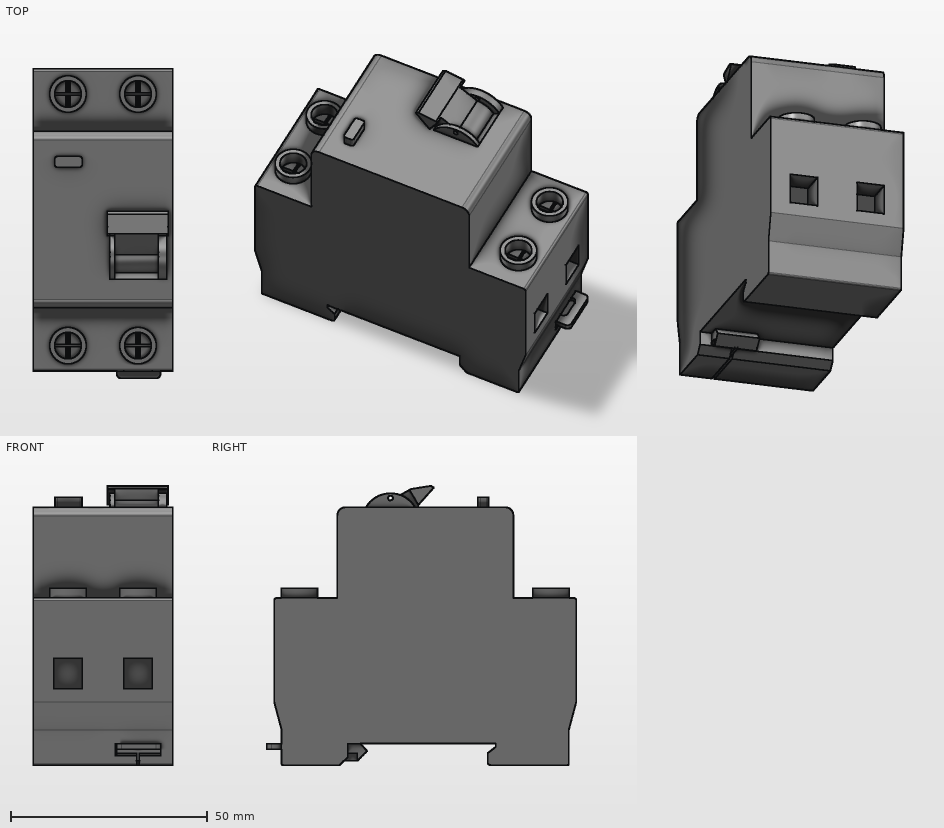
import cadquery as cq
import math


WIDTH = 35.5
DEPTH = 76.8
SHOULDER_HEIGHT = 42.5
TOWER_HEIGHT = 65.55
TOWER_FRONT = 16.05
TOWER_BACK = 60.8
FOOT_INSET = 1.9
TAPER_LOW = 9.05
TAPER_HIGH = 16.1
TOWER_ROUND = 2.1
EDGE_ROUND = 0.6
BASE_ROUND = 0.5

CHANNEL_ROOF = 5.5
CHANNEL_FRONT = 18.7
CHANNEL_BACK = 56.3
CHANNEL_CHAMFER = 2.05
HOOK_TIP = 54.2
HOOK_TOP = 3.1
HOOK_SHOULDER = 4.65
HOOK_ROUND = 0.8

POLE_PITCH = 17.8
POLE_CENTRES = [WIDTH / 2 - POLE_PITCH / 2, WIDTH / 2 + POLE_PITCH / 2]
SCREW_INSET = 6.45
COLLAR_DIAMETER = 9.3
COLLAR_HEIGHT = 2.5
SCREW_DIAMETER = 6.8
SCREW_SINK = 3.85
SLOT_DEPTH = 0.8
CROSS_SLOT_WIDTH = 0.6
LONG_SLOT_WIDTH = 1.1
LONG_SLOT_TAPER = 22
WINDOW_WIDTH = 7.25
WINDOW_HEIGHT = 7.7
WINDOW_BOTTOM = 19.4
WINDOW_DEPTH = 7.9

BUTTON_LENGTH = 6.9
BUTTON_WIDTH = 2.75
BUTTON_HEIGHT = 2.5
BUTTON_X = 9.0
BUTTON_Y = 53.1
BUTTON_ROUND = 0.6

PIVOT_Y = 29.6
PIVOT_Z = 61.85
CHEEK_RADIUS = 7.25
DRUM_RADIUS = 5.4
LEFT_CHEEK_X = 19.5
DRUM_LEFT_X = 20.8
DRUM_RIGHT_X = 31.8
RIGHT_CHEEK_X = 34.0
HANDLE_LEFT_X = 18.9
HANDLE_RIGHT_X = 34.3
PIN_HOLE_DIAMETER = 1.2
PIN_HOLE_Z = 67.85
LEVER_ROOT_Z = 64.5
NECK_FOOT_Y = 36.6
HANDLE_LIP = (34.9, 70.2)
HANDLE_LIP_WIDTH = 0.5
HANDLE_HEEL = (36.7, 66.1)
HANDLE_TIP_LOW = (40.6, 70.5)
HANDLE_TIP_TOP = (39.8, 71.0)
RELIEF_DROP = 0.9

GUIDE_X = POLE_CENTRES[1]
GUIDE_WIDTH = 11.5
CLIP_WIDTH = 11.2
CLIP_X = GUIDE_X + (GUIDE_WIDTH - CLIP_WIDTH) / 2
CLIP_THICKNESS = 2.5
CLIP_BOTTOM = CHANNEL_ROOF - CLIP_THICKNESS
GUIDE_CLEARANCE = 0.55
GUIDE_BOTTOM = CLIP_BOTTOM - GUIDE_CLEARANCE
RIB_WIDTH = 0.7
RIB_BOTTOM = 1.1
LATCH_ROOT = 21.2
LATCH_TIP = (23.7, 3.6)
LATCH_TOP = 21.95
TAB_REACH = 1.9
TAB_THICKNESS = 1.5
TAB_ROUND = 1.2
GRIP_LENGTH = 6.3
GRIP_WIDTH = 2.2
GRIP_DEPTH = 1.1
GRIP_Y = 1.5


def side_prism(outline, left_x, right_x):
    """Extrude a closed outline of (Y, Z) points from left_x to right_x."""
    return cq.Workplane("YZ", origin=(left_x, 0, 0)).polyline(outline).close().extrude(right_x - left_x)


def side_cylinder(y, z, radius, left_x, right_x):
    """Cylinder along X with its axis at (y, z)."""
    return cq.Workplane("YZ", origin=(left_x, y, z)).circle(radius).extrude(right_x - left_x)


def block(x_range, y_range, z_range):
    """Rectangular block between the given limits."""
    size = [high - low for low, high in (x_range, y_range, z_range)]
    corner = (x_range[0], y_range[0], z_range[0])
    return cq.Workplane("XY").box(*size, centered=False).translate(corner)


def centred(middle, width):
    """Limits of a span of the given width about its middle."""
    return middle - width / 2, middle + width / 2


def edges_at(body, points):
    """Edges of the body that run along X through the given (Y, Z) points."""
    tolerance = 0.01
    picked = []
    for edge in body.edges("|X").vals():
        middle = edge.Center()
        if any(math.hypot(middle.y - y, middle.z - z) < tolerance for y, z in points):
            picked.append(edge)
    return body.newObject(picked)


def shell():
    """Stepped housing with the rail channel in its underside."""
    outline = [
        (FOOT_INSET, 0),
        (FOOT_INSET, TAPER_LOW),
        (0, TAPER_HIGH),
        (0, SHOULDER_HEIGHT),
        (TOWER_FRONT, SHOULDER_HEIGHT),
        (TOWER_FRONT, TOWER_HEIGHT),
        (TOWER_BACK, TOWER_HEIGHT),
        (TOWER_BACK, SHOULDER_HEIGHT),
        (DEPTH, SHOULDER_HEIGHT),
        (DEPTH, TAPER_HIGH),
        (DEPTH - FOOT_INSET, TAPER_LOW),
        (DEPTH - FOOT_INSET, 0),
        (HOOK_TIP, 0),
        (HOOK_TIP, HOOK_TOP),
        (CHANNEL_BACK, HOOK_SHOULDER),
        (CHANNEL_BACK, CHANNEL_ROOF),
        (CHANNEL_FRONT, CHANNEL_ROOF),
        (CHANNEL_FRONT, CHANNEL_CHAMFER),
        (CHANNEL_FRONT - CHANNEL_CHAMFER, 0),
    ]
    body = side_prism(outline, 0, WIDTH)
    tower_edges = [(TOWER_FRONT, TOWER_HEIGHT), (TOWER_BACK, TOWER_HEIGHT)]
    shoulder_edges = [(0, SHOULDER_HEIGHT), (DEPTH, SHOULDER_HEIGHT)]
    base_edges = [(FOOT_INSET, 0), (DEPTH - FOOT_INSET, 0)]
    body = edges_at(body, tower_edges).fillet(TOWER_ROUND)
    body = edges_at(body, shoulder_edges).fillet(EDGE_ROUND)
    body = edges_at(body, base_edges).fillet(BASE_ROUND)
    return edges_at(body, [(HOOK_TIP, 0)]).fillet(HOOK_ROUND)


def terminal_collar(x, y):
    """Raised ring around a terminal screw."""
    base = cq.Workplane("XY", origin=(x, y, SHOULDER_HEIGHT))
    return base.circle(COLLAR_DIAMETER / 2).extrude(COLLAR_HEIGHT)


def terminal_screw_cut(x, y):
    """Well down to the screw head, with the cross slot below it."""
    head_z = SHOULDER_HEIGHT + COLLAR_HEIGHT - SCREW_SINK
    head = cq.Workplane("XY", origin=(x, y, head_z))
    well = head.circle(SCREW_DIAMETER / 2).extrude(SCREW_SINK)
    cross_slot = head.rect(SCREW_DIAMETER, CROSS_SLOT_WIDTH).extrude(-SLOT_DEPTH)
    long_slot = head.rect(LONG_SLOT_WIDTH, SCREW_DIAMETER).extrude(-SLOT_DEPTH, taper=LONG_SLOT_TAPER)
    return well.union(cross_slot).union(long_slot)


def wire_window(x, y_range):
    """Rectangular wire entry."""
    z_range = (WINDOW_BOTTOM, WINDOW_BOTTOM + WINDOW_HEIGHT)
    return block(centred(x, WINDOW_WIDTH), y_range, z_range)


def test_button():
    """Rounded push button on the tower top."""
    base = cq.Workplane("XY", origin=(BUTTON_X, BUTTON_Y, TOWER_HEIGHT))
    return base.rect(BUTTON_LENGTH, BUTTON_WIDTH).extrude(BUTTON_HEIGHT).edges("|Z").fillet(BUTTON_ROUND)


def lever_cheek(left_x, right_x):
    """Round end plate of the lever with its pin hole."""
    disc = side_cylinder(PIVOT_Y, PIVOT_Z, CHEEK_RADIUS, left_x, right_x)
    hole = side_cylinder(PIVOT_Y, PIN_HOLE_Z, PIN_HOLE_DIAMETER / 2, left_x, right_x)
    return disc.cut(hole)


def lever():
    """Toggle lever: drum and neck between two cheeks, and a wider handle."""
    drum = side_cylinder(PIVOT_Y, PIVOT_Z, DRUM_RADIUS, DRUM_LEFT_X, DRUM_RIGHT_X)
    drum_top = (PIVOT_Y, PIVOT_Z + DRUM_RADIUS)
    neck_slope = (HANDLE_LIP[1] - drum_top[1]) / (HANDLE_LIP[0] - drum_top[0])
    lip_low = (HANDLE_LIP[0] - HANDLE_LIP_WIDTH, HANDLE_LIP[1] - neck_slope * HANDLE_LIP_WIDTH)
    neck_outline = [
        (PIVOT_Y, LEVER_ROOT_Z),
        drum_top,
        HANDLE_LIP,
        HANDLE_HEEL,
        (NECK_FOOT_Y, LEVER_ROOT_Z),
    ]
    handle_outline = [
        HANDLE_HEEL,
        lip_low,
        HANDLE_LIP,
        HANDLE_TIP_TOP,
        HANDLE_TIP_LOW,
    ]
    neck = side_prism(neck_outline, DRUM_LEFT_X, DRUM_RIGHT_X)
    handle = side_prism(handle_outline, HANDLE_LEFT_X, HANDLE_RIGHT_X)
    left_cheek = lever_cheek(LEFT_CHEEK_X, DRUM_LEFT_X)
    right_cheek = lever_cheek(DRUM_RIGHT_X, RIGHT_CHEEK_X)
    return drum.union(neck).union(handle).union(left_cheek).union(right_cheek)


def lever_relief():
    """Sloping recess in the tower top, in front of the drum."""
    rise = TOWER_HEIGHT - PIVOT_Z
    front_y = PIVOT_Y - math.sqrt(CHEEK_RADIUS**2 - rise**2)
    drum_y = PIVOT_Y - math.sqrt(DRUM_RADIUS**2 - (rise - RELIEF_DROP) ** 2)
    outline = [
        (front_y, TOWER_HEIGHT),
        (drum_y, TOWER_HEIGHT - RELIEF_DROP),
        (PIVOT_Y, TOWER_HEIGHT - RELIEF_DROP),
        (PIVOT_Y, TOWER_HEIGHT),
    ]
    return side_prism(outline, DRUM_LEFT_X, DRUM_RIGHT_X)


def clip_guide():
    """T-shaped passage for the clip through the front foot."""
    y_range = (0, CHANNEL_FRONT)
    passage = block(centred(GUIDE_X, GUIDE_WIDTH), y_range, (GUIDE_BOTTOM, CHANNEL_ROOF))
    rib_slot = block(centred(GUIDE_X, RIB_WIDTH), y_range, (0, GUIDE_BOTTOM))
    return passage.union(rib_slot)


def make_housing():
    """Housing with its terminals, button and lever."""
    body = shell().cut(lever_relief())
    for x in POLE_CENTRES:
        for y in (SCREW_INSET, DEPTH - SCREW_INSET):
            body = body.union(terminal_collar(x, y)).cut(terminal_screw_cut(x, y))
        for y_range in ((0, WINDOW_DEPTH), (DEPTH - WINDOW_DEPTH, DEPTH)):
            body = body.cut(wire_window(x, y_range))
    return body.union(test_button()).union(lever()).cut(clip_guide())


def make_rail_clip():
    """Sliding clip: latch nose at the back, plate, guide rib and finger tab at the front."""
    x_range = centred(CLIP_X, CLIP_WIDTH)
    plate_outline = [
        (FOOT_INSET, CLIP_BOTTOM),
        (LATCH_ROOT, CLIP_BOTTOM),
        (LATCH_ROOT, RIB_BOTTOM),
        LATCH_TIP,
        (LATCH_TOP, CHANNEL_ROOF),
        (FOOT_INSET, CHANNEL_ROOF),
    ]
    plate = side_prism(plate_outline, *x_range)
    rib = block(centred(GUIDE_X, RIB_WIDTH), (FOOT_INSET, LATCH_ROOT), (RIB_BOTTOM, CLIP_BOTTOM))
    tab = block(x_range, (-TAB_REACH, FOOT_INSET), (CHANNEL_ROOF - TAB_THICKNESS, CHANNEL_ROOF))
    tab = tab.edges("|Z and <Y").fillet(TAB_ROUND)
    top = cq.Workplane("XY", origin=(CLIP_X, GRIP_Y, CHANNEL_ROOF))
    grip = top.slot2D(GRIP_LENGTH, GRIP_WIDTH).extrude(-GRIP_DEPTH)
    return plate.union(rib).union(tab).cut(grip)


housing = make_housing()
rail_clip = make_rail_clip()

result = cq.Compound.makeCompound([housing.solids().val(), rail_clip.solids().val()])